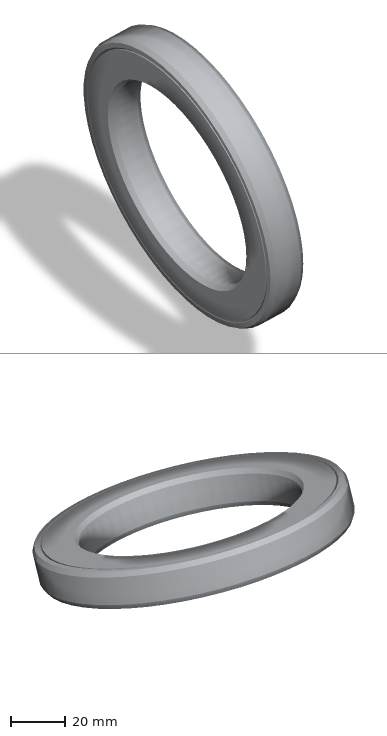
import cadquery as cq
import math

outer_radius = 60.0
bore_radius = 42.5
width = 15.0
split_radius = 56.0

edge_radial = 1.15
edge_angle = 30.0
edge_axial = edge_radial / math.tan(math.radians(edge_angle))

groove_chamfer = 0.78

half_width = width / 2


def revolve_about_y(profile_points):
    """Turn a closed (radius, axial position) outline into a ring around the Y axis."""
    return (
        cq.Workplane("XY")
        .polyline(profile_points)
        .close()
        .revolve(360, (0, 0, 0), (0, 1, 0))
    )


def make_outer_ring():
    """Rim ring with bevelled outer edges and a chamfered mouth on both faces."""
    return revolve_about_y([
        (split_radius, -half_width + groove_chamfer),
        (split_radius + groove_chamfer, -half_width),
        (outer_radius - edge_radial, -half_width),
        (outer_radius, -half_width + edge_axial),
        (outer_radius, half_width - edge_axial),
        (outer_radius - edge_radial, half_width),
        (split_radius + groove_chamfer, half_width),
        (split_radius, half_width - groove_chamfer),
    ])


def make_inner_ring():
    """Flat-faced ring filling the rim ring, with bevelled bore edges."""
    return revolve_about_y([
        (bore_radius, -half_width + edge_axial),
        (bore_radius + edge_radial, -half_width),
        (split_radius, -half_width),
        (split_radius, half_width),
        (bore_radius + edge_radial, half_width),
        (bore_radius, half_width - edge_axial),
    ])


outer_ring = make_outer_ring()
inner_ring = make_inner_ring()

result = cq.Compound.makeCompound([outer_ring.val(), inner_ring.val()])